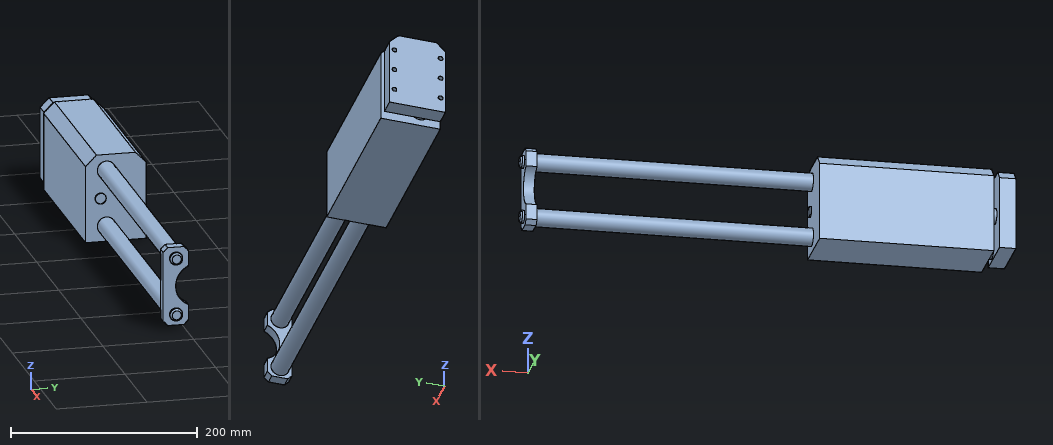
import cadquery as cq


total_length = 534.5
front_plate_thickness = 18.0
front_gap = 6.5
housing_length = 190.5
end_plate_thickness = 12.0
screw_head_height = 4.5

housing_front = front_plate_thickness + front_gap
end_plate_back = total_length - screw_head_height
end_plate_front = end_plate_back - end_plate_thickness

housing_width = 67.0
housing_height = 98.0
housing_chamfer = 12.0

front_plate_width = 63.0
front_plate_height = 90.0
front_plate_chamfer = 10.0
front_plate_top_step = 3.0
front_plate_center_z = (housing_height - front_plate_height) / 2 - front_plate_top_step

mount_hole_diameter = 5.02
mount_hole_depth = 12.0
mount_hole_spacing_y = 52.0
mount_hole_pitch_z = 26.0

guide_diameter = 20.0
guide_bore_diameter = 20.02
guide_y = -10.5
guide_spacing = 63.0
guide_axes = [(guide_y, side * guide_spacing / 2) for side in (1, -1)]

piston_rod_diameter = 17.0
piston_axis = (8.5, 0.0)
piston_rod_insertion = 30.0
collar_diameter = 20.0
collar_height = 1.5

stop_rod_diameter = 12.0
stop_rod_axis = (-17.0, 0.0)
stop_rod_overhang = 1.5

end_plate_width = 28.0
end_plate_height = 88.0
end_plate_chamfer = 5.0
notch_diameter = 48.0
notch_axis = (13.5, 0.0)

screw_head_diameter = 14.0
screw_head_chamfer = 2.0


def box_along_x(x_start, length, width, height, center_y=0.0, center_z=0.0):
    """Rectangular bar that starts at x_start."""
    return (
        cq.Workplane("YZ", origin=(x_start, center_y, center_z))
        .rect(width, height)
        .extrude(length)
    )


def rod_along_x(x_start, x_end, diameter, axis):
    """Round bar between two X positions, on an axis given as (y, z)."""
    return (
        cq.Workplane("YZ", origin=(x_start, 0, 0))
        .center(*axis)
        .circle(diameter / 2)
        .extrude(x_end - x_start)
    )


def make_housing():
    """Housing block with chamfered top edges, a collar and bores for all the rods."""
    front = housing_front
    back = housing_front + housing_length
    body = box_along_x(front, housing_length, housing_width, housing_height)
    body = body.faces(">Z").edges("|X").chamfer(housing_chamfer)
    collar_front = front - collar_height
    body = body.union(rod_along_x(collar_front, front + collar_height, collar_diameter, piston_axis))

    for axis in guide_axes:
        body = body.cut(rod_along_x(front, back, guide_bore_diameter, axis))
    body = body.cut(rod_along_x(front, back, stop_rod_diameter, stop_rod_axis))
    return body.cut(
        rod_along_x(collar_front, front + piston_rod_insertion, piston_rod_diameter, piston_axis)
    )


def make_front_plate():
    """Front plate with chamfered top edges and two columns of blind mounting holes."""
    plate = box_along_x(
        0, front_plate_thickness, front_plate_width, front_plate_height, center_z=front_plate_center_z
    )
    plate = plate.faces(">Z").edges("|X").chamfer(front_plate_chamfer)
    for side in (-1, 1):
        for row in (-1, 0, 1):
            axis = (side * mount_hole_spacing_y / 2, row * mount_hole_pitch_z)
            plate = plate.cut(rod_along_x(0, mount_hole_depth, mount_hole_diameter, axis))
    return plate


def make_end_plate():
    """End plate joining the guide rods, with a round notch in its +Y edge between the rods."""
    plate = box_along_x(
        end_plate_front, end_plate_thickness, end_plate_width, end_plate_height, center_y=guide_y
    )
    plate = plate.edges("|X").chamfer(end_plate_chamfer)
    return plate.cut(rod_along_x(end_plate_front, end_plate_back, notch_diameter, notch_axis))


def make_screw_head(axis):
    """Round screw head with a chamfered rim, on the back of the end plate."""
    head = rod_along_x(end_plate_back, total_length, screw_head_diameter, axis)
    return head.faces(">X").chamfer(screw_head_chamfer)


def make_slide():
    """Moving body: both plates, the guide rods, the piston rod, the stop rod and the screw heads."""
    plate_back = front_plate_thickness
    slide = make_front_plate().union(make_end_plate())
    for axis in guide_axes:
        slide = slide.union(rod_along_x(plate_back, end_plate_front, guide_diameter, axis))
        slide = slide.union(make_screw_head(axis))

    piston_rod_end = housing_front + piston_rod_insertion
    slide = slide.union(rod_along_x(plate_back, piston_rod_end, piston_rod_diameter, piston_axis))

    stop_rod_end = housing_front + housing_length + stop_rod_overhang
    return slide.union(rod_along_x(plate_back, stop_rod_end, stop_rod_diameter, stop_rod_axis))


housing = make_housing()
slide = make_slide()

result = cq.Compound.makeCompound([housing.val(), slide.val()])